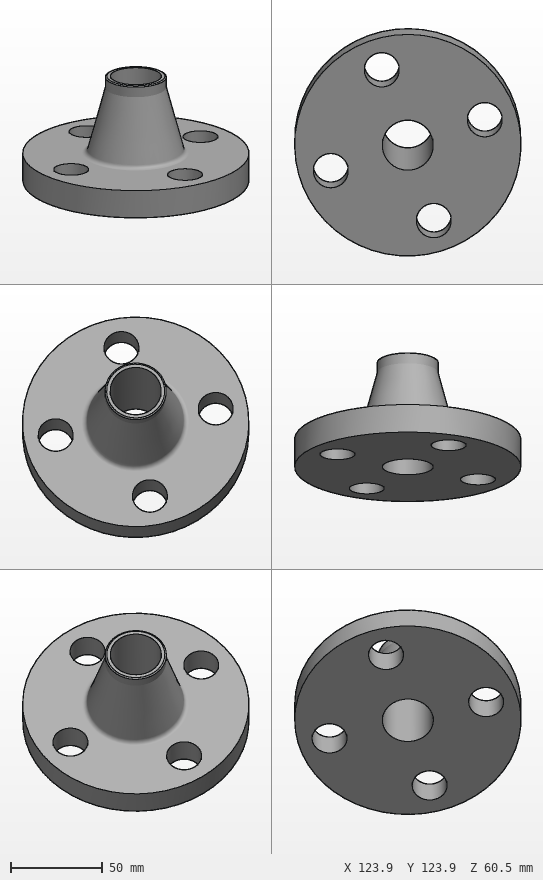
import cadquery as cq

flange_diameter = 123.9
flange_thickness = 15.9

bolt_circle_diameter = 89.0
bolt_hole_diameter = 19.1
bolt_hole_count = 4

total_height = 60.5
bore_diameter = 27.9
neck_diameter = 33.5
neck_length = 6.5
weld_face_diameter = 31.7
weld_bevel_height = 0.5
hub_diameter = 54.0
hub_fillet_radius = 3.0

flange_radius = flange_diameter / 2
bore_radius = bore_diameter / 2
neck_radius = neck_diameter / 2
cone_top = total_height - neck_length


def revolved_body():
    """Half section of flange, cone and neck, turned about the Z axis."""
    section = (
        cq.Workplane("XZ")
        .moveTo(bore_radius, 0)
        .lineTo(flange_radius, 0)
        .lineTo(flange_radius, flange_thickness)
        .lineTo(hub_diameter / 2, flange_thickness)
        .lineTo(neck_radius, cone_top)
        .lineTo(neck_radius, total_height - weld_bevel_height)
        .lineTo(weld_face_diameter / 2, total_height)
        .lineTo(bore_radius, total_height)
        .close()
    )
    return section.revolve(360, (0, 0, 0), (0, 1, 0))


def fillet_hub(body):
    """Round the inner corner between the cone and the flange face."""
    margin = 0.1
    reach = hub_diameter / 2 + margin
    corner = cq.selectors.BoxSelector(
        (-reach, -reach, flange_thickness - margin),
        (reach, reach, flange_thickness + margin),
        boundingbox=True,
    )
    return body.edges(corner).fillet(hub_fillet_radius)


def drill_bolt_holes(body):
    """Drill the bolt holes through the flange, the first one on the X axis."""
    holes = (
        cq.Workplane("XY")
        .polarArray(bolt_circle_diameter / 2, 0, 360, bolt_hole_count)
        .circle(bolt_hole_diameter / 2)
        .extrude(flange_thickness)
    )
    return body.cut(holes)


result = drill_bolt_holes(fillet_hub(revolved_body()))